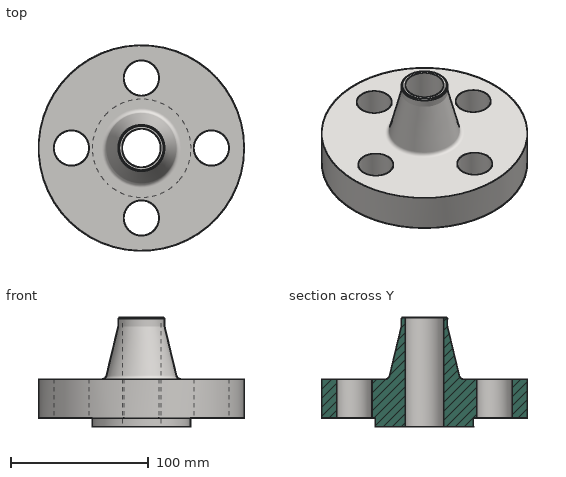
import cadquery as cq

flange_diameter = 149.3
flange_thickness = 28.4
face_diameter = 71.5
face_height = 6.3

total_height = 79.5
hub_base_diameter = 52.1
hub_fillet_radius = 3.3
neck_diameter = 33.7
stub_length = 6.5
bore_diameter = 27.8
weld_bevel_width = 0.9
weld_bevel_height = 0.9

bolt_hole_count = 4
bolt_hole_diameter = 25.4
bolt_circle_diameter = 101.5

flange_top = face_height + flange_thickness
stub_bottom = total_height - stub_length


def make_flange():
    """Raised face and disc, stacked along Z."""
    face = cq.Workplane("XY").circle(face_diameter / 2).extrude(face_height)
    disc = (
        cq.Workplane("XY")
        .workplane(offset=face_height)
        .circle(flange_diameter / 2)
        .extrude(flange_thickness)
    )
    return face.union(disc)


def make_neck():
    """Cone, pipe stub and weld bevel, revolved about Z."""
    neck_radius = neck_diameter / 2
    return (
        cq.Workplane("XZ")
        .moveTo(0, flange_top)
        .lineTo(hub_base_diameter / 2, flange_top)
        .lineTo(neck_radius, stub_bottom)
        .lineTo(neck_radius, total_height - weld_bevel_height)
        .lineTo(neck_radius - weld_bevel_width, total_height)
        .lineTo(0, total_height)
        .close()
        .revolve(360, (0, 0), (0, 1))
    )


def fillet_hub_root(body):
    """Round the circle where the cone meets the top of the disc."""
    margin = 0.1
    reach = hub_base_diameter / 2 + margin
    root = cq.selectors.BoxSelector(
        (-reach, -reach, flange_top - margin),
        (reach, reach, flange_top + margin),
        boundingbox=True,
    )
    return body.edges(root).fillet(hub_fillet_radius)


def cut_holes(body):
    """Cut the central bore and the bolt holes through the whole part."""
    bore = cq.Workplane("XY").circle(bore_diameter / 2).extrude(total_height)
    bolt_holes = (
        cq.Workplane("XY")
        .polarArray(bolt_circle_diameter / 2, 0, 360, bolt_hole_count)
        .circle(bolt_hole_diameter / 2)
        .extrude(total_height)
    )
    return body.cut(bore).cut(bolt_holes)


result = cut_holes(fillet_hub_root(make_flange().union(make_neck())))